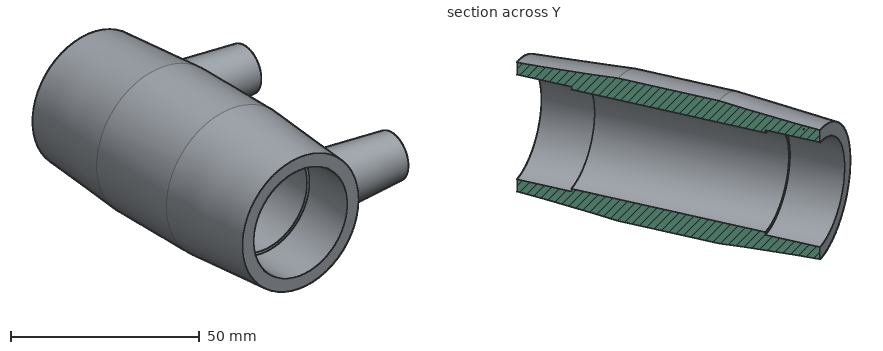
import cadquery as cq

length = 88.0
band_length = 29.2
band_diameter = 44.0
end_diameter = 39.8

socket_diameter = 32.0
socket_depth = 15.8
stop_diameter = 30.4

terminal_end_distance = 13.2
terminal_tip_y = 42.0
terminal_tip_diameter = 14.3
terminal_root_y = 17.6
terminal_root_diameter = 18.0


def make_body():
    """Straight middle band with a cone tapering to each end."""
    half_length = length / 2
    half_band = band_length / 2
    return (
        cq.Workplane("XY")
        .moveTo(-half_length, 0)
        .lineTo(-half_length, end_diameter / 2)
        .lineTo(-half_band, band_diameter / 2)
        .lineTo(half_band, band_diameter / 2)
        .lineTo(half_length, end_diameter / 2)
        .lineTo(half_length, 0)
        .close()
        .revolve(360, (0, 0, 0), (1, 0, 0))
    )


def make_terminal(x):
    """Tapered terminal, its root buried in the sleeve wall."""
    axis = cq.Vector(0, 1, 0)
    root = cq.Vector(x, terminal_root_y, 0)
    height = terminal_tip_y - terminal_root_y
    cone = cq.Solid.makeCone(
        terminal_root_diameter / 2, terminal_tip_diameter / 2, height, root, axis
    )
    return cq.Workplane(cone)


def make_bore(diameter, bore_length, start_x):
    """Cylinder along X for cutting the bore."""
    return cq.Workplane("YZ", origin=(start_x, 0, 0)).circle(diameter / 2).extrude(bore_length)


result = make_body()

terminal_x = length / 2 - terminal_end_distance
for x in (-terminal_x, terminal_x):
    result = result.union(make_terminal(x))

result = result.cut(make_bore(stop_diameter, length, -length / 2))
for socket_start in (-length / 2, length / 2 - socket_depth):
    result = result.cut(make_bore(socket_diameter, socket_depth, socket_start))